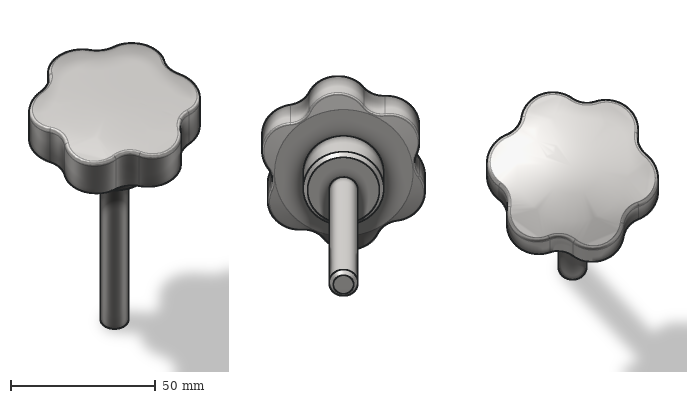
import cadquery as cq
import math

total_height = 115.5
head_height = 20.0
hub_height = 15.0
head_bottom = total_height - head_height
hub_bottom = head_bottom - hub_height

lobe_count = 6
head_radius = 60.0 / 2
lobe_radius = 11.0
lobe_center_distance = head_radius - lobe_radius
valley_radius = 8.0

dome_radius = 119.0
top_fillet = 1.5
bottom_fillet = 0.7

flat_radius = 24.0
underside_rise = 0.8

hub_diameter = 28.0
hub_chamfer = 1.5
stud_diameter = 10.0
stud_chamfer = 1.5


def polar(radius, angle):
    return (radius * math.cos(angle), radius * math.sin(angle))


def lobed_outline():
    """Closed outline of convex lobes joined by tangent concave valleys."""
    half_pitch = math.pi / lobe_count
    center_gap = lobe_radius + valley_radius
    lobe_offset = lobe_center_distance * math.sin(half_pitch)
    valley_center_distance = lobe_center_distance * math.cos(half_pitch) + math.sqrt(
        center_gap**2 - lobe_offset**2
    )
    valley_floor = valley_center_distance - valley_radius

    valley_x, valley_y = polar(valley_center_distance, half_pitch)
    share = lobe_radius / center_gap
    tangent_x = lobe_center_distance + share * (valley_x - lobe_center_distance)
    tangent_y = share * valley_y
    tangent_radius = math.hypot(tangent_x, tangent_y)
    tangent_angle = math.atan2(tangent_y, tangent_x)

    first_lobe = math.pi / 2
    outline = cq.Workplane("XY").moveTo(*polar(tangent_radius, first_lobe - tangent_angle))
    for index in range(lobe_count):
        lobe_angle = first_lobe + 2 * half_pitch * index
        valley_angle = lobe_angle + half_pitch
        next_lobe_angle = valley_angle + half_pitch
        outline = outline.threePointArc(
            polar(head_radius, lobe_angle),
            polar(tangent_radius, lobe_angle + tangent_angle),
        )
        outline = outline.threePointArc(
            polar(valley_floor, valley_angle),
            polar(tangent_radius, next_lobe_angle - tangent_angle),
        )
    return outline.close()


def make_head():
    prism = lobed_outline().extrude(head_height).translate((0, 0, head_bottom))
    dome = cq.Workplane("XY").sphere(dome_radius).translate((0, 0, total_height - dome_radius))
    underside_limit = (
        cq.Workplane("XZ")
        .moveTo(0, head_bottom)
        .lineTo(flat_radius, head_bottom)
        .lineTo(head_radius, head_bottom + underside_rise)
        .lineTo(head_radius, total_height)
        .lineTo(0, total_height)
        .close()
        .revolve(360, (0, 0, 0), (0, 1, 0))
    )
    head = prism.intersect(dome).intersect(underside_limit)
    head = head.faces("%CONE").edges("not %CIRCLE").fillet(bottom_fillet)
    return head.faces("%SPHERE").edges().fillet(top_fillet)


def make_hub():
    hub = cq.Workplane("XY").workplane(offset=hub_bottom).circle(hub_diameter / 2).extrude(hub_height)
    return hub.faces("<Z").chamfer(hub_chamfer)


def make_stud():
    stud = cq.Workplane("XY").circle(stud_diameter / 2).extrude(hub_bottom)
    return stud.faces("<Z").chamfer(stud_chamfer)


result = make_head().union(make_hub()).union(make_stud())